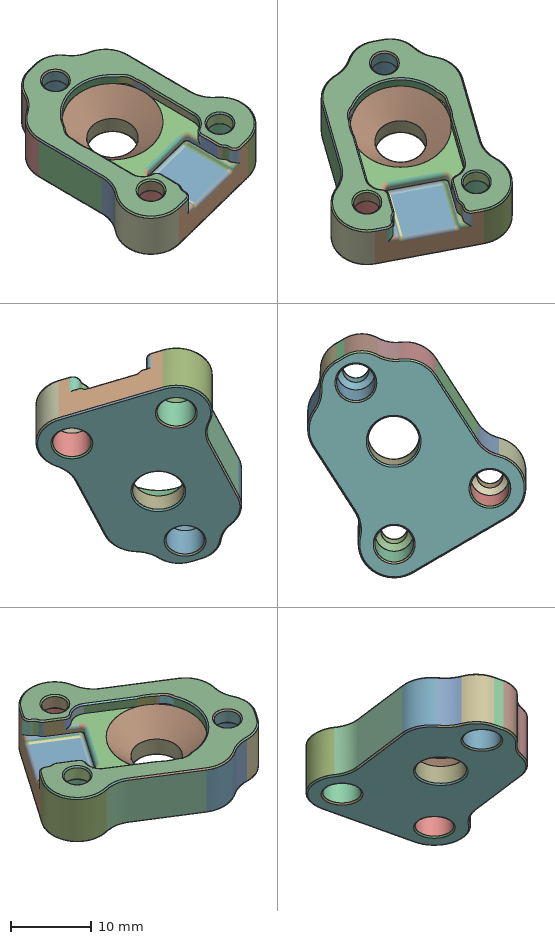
import cadquery as cq
import math

LENGTH = 28.75
WIDTH = 22.97
HEIGHT = 7.25
LEFT_X = -12.75
RIGHT_X = LEFT_X + LENGTH
CHAMFER = 0.2

BODY_HALF_WIDTH = 9.0
LOBE_RADIUS = 4.48
LOBE_X = RIGHT_X - LOBE_RADIUS
LOBE_Y = WIDTH / 2 - LOBE_RADIUS
LOBE_BLEND_RADIUS = 4.48
SHOULDER_RADIUS = 4.48
SHOULDER_X = -4.57
SHOULDER_Y = BODY_HALF_WIDTH - SHOULDER_RADIUS
NOSE_RADIUS = 4.0
NOSE_HALF_FLAT = 0.7
NOSE_BLEND_RADIUS = 4.6

SCREW_DIAMETER = 3.3
SCREW_RECESS_DIAMETER = 4.8
SCREW_RECESS_DEPTH = 4.48
NOSE_HOLE_X = -9.0
SEAT_HOLE_DIAMETER = 6.4
SEAT_RADIUS = 6.3

POCKET_FLOOR_Z = HEIGHT - 1.5
POCKET_HALF_WIDTH = 6.18
POCKET_CORNER_RADIUS = 2.0
POCKET_LEFT_X = -3.68
POCKET_ARC_X = 8.0
NECK_HALF_WIDTH = 4.02
NECK_CORNER_RADIUS = 1.0
NECK_END_X = RIGHT_X - 2.5
MOUTH_HALF_WIDTH = 4.48
MOUTH_CORNER_RADIUS = 1.0
MOUTH_START_X = RIGHT_X - 1.15

CHANNEL_START_X = 8.5
SHELF_Z = HEIGHT - 2.5
CHANNEL_FLOOR_Z = SHELF_Z - 0.45
CHANNEL_SLOPE_TOP = 4.0
CHANNEL_ROUNDING = 0.5

PICK_MARGIN = 0.03

OVERCUT = 2.88


def along(start, end, distance):
    """Point at a given distance from start towards end."""
    span = math.dist(start, end)
    return tuple(a + (b - a) * distance / span for a, b in zip(start, end))


def blend_centre(centre_a, radius_a, centre_b, radius_b, blend_radius):
    """Centre of an arc touching two circles from outside, on the left of the line from a to b."""
    reach_a = radius_a + blend_radius
    reach_b = radius_b + blend_radius
    span = math.dist(centre_a, centre_b)
    run = (reach_a**2 - reach_b**2 + span**2) / (2 * span)
    rise = math.sqrt(reach_a**2 - run**2)
    ux = (centre_b[0] - centre_a[0]) / span
    uy = (centre_b[1] - centre_a[1]) / span
    return centre_a[0] + ux * run - uy * rise, centre_a[1] + uy * run + ux * rise


def arc_to(path, centre, end):
    """Extend a path by the short arc about centre from its last point to end."""
    start = path.val().endPoint() if isinstance(path.val(), cq.Edge) else path.val()
    middle = ((start.x + end[0]) / 2, (start.y + end[1]) / 2)
    return path.threePointArc(along(centre, middle, math.dist(centre, end)), end)


def mirrored_prism(half_outline, bottom, top):
    """Prism from an outline above the X axis and its mirror image."""
    return half_outline.mirrorX().extrude(top - bottom).translate((0, 0, bottom))


def box(x_range, half_width, z_range):
    """Box centred on the X axis."""
    return cq.Workplane().box(
        x_range[1] - x_range[0], 2 * half_width, z_range[1] - z_range[0], centered=(False, True, False)
    ).translate((x_range[0], 0, z_range[0]))


def edges_within(low, high):
    """Selector for edges whose centres lie in the box from low to high, grown by a small margin."""
    return cq.selectors.BoxSelector(
        tuple(value - PICK_MARGIN for value in low), tuple(value + PICK_MARGIN for value in high)
    )


def turned_cutter(profile):
    """Solid turned about the Z axis from (radius, height) points."""
    return cq.Workplane("XZ").polyline(profile).close().revolve(360, (0, 0), (0, 1))


def body():
    """Block with a rounded nose on the left and two screw lobes on the right."""
    nose = (LEFT_X + NOSE_RADIUS, NOSE_HALF_FLAT)
    shoulder = (SHOULDER_X, SHOULDER_Y)
    nose_blend = blend_centre(nose, NOSE_RADIUS, shoulder, SHOULDER_RADIUS, NOSE_BLEND_RADIUS)
    lobe = (LOBE_X, LOBE_Y)
    lobe_blend_y = BODY_HALF_WIDTH + LOBE_BLEND_RADIUS
    lobe_reach = LOBE_RADIUS + LOBE_BLEND_RADIUS
    lobe_blend = (LOBE_X - math.sqrt(lobe_reach**2 - (lobe_blend_y - LOBE_Y) ** 2), lobe_blend_y)

    path = cq.Workplane().moveTo(LEFT_X, 0).lineTo(LEFT_X, NOSE_HALF_FLAT)
    path = arc_to(path, nose, along(nose, nose_blend, NOSE_RADIUS))
    path = arc_to(path, nose_blend, along(shoulder, nose_blend, SHOULDER_RADIUS))
    path = arc_to(path, shoulder, (SHOULDER_X, BODY_HALF_WIDTH))
    path = path.lineTo(lobe_blend[0], BODY_HALF_WIDTH)
    path = arc_to(path, lobe_blend, along(lobe, lobe_blend, LOBE_RADIUS))
    path = arc_to(path, lobe, (LOBE_X, LOBE_Y + LOBE_RADIUS))
    path = arc_to(path, lobe, (RIGHT_X, LOBE_Y))
    path = path.lineTo(RIGHT_X, 0)
    return mirrored_prism(path, 0, HEIGHT).clean()


def open_through_mouth(path):
    """Carry a half outline from the neck wall through the flared mouth and past the right end."""
    run = MOUTH_START_X - NECK_END_X
    rise = MOUTH_HALF_WIDTH - NECK_HALF_WIDTH
    flare_radius = (run**2 + rise**2) / (4 * rise)
    halfway = (NECK_END_X + run / 2, NECK_HALF_WIDTH + rise / 2)
    corner = (RIGHT_X - MOUTH_CORNER_RADIUS, MOUTH_HALF_WIDTH + MOUTH_CORNER_RADIUS)

    path = path.lineTo(NECK_END_X, NECK_HALF_WIDTH)
    path = arc_to(path, (NECK_END_X, NECK_HALF_WIDTH + flare_radius), halfway)
    path = arc_to(path, (MOUTH_START_X, MOUTH_HALF_WIDTH - flare_radius), (MOUTH_START_X, MOUTH_HALF_WIDTH))
    path = path.lineTo(corner[0], MOUTH_HALF_WIDTH)
    path = arc_to(path, corner, (RIGHT_X, corner[1]))
    return path.lineTo(RIGHT_X + OVERCUT, corner[1]).lineTo(RIGHT_X + OVERCUT, 0)


def pocket_prism(bottom):
    """Plan of the pocket, neck and mouth, from the given level up to the top face."""
    arc_y = POCKET_HALF_WIDTH - POCKET_CORNER_RADIUS
    wide_arc = (POCKET_ARC_X, arc_y)
    left_arc = (POCKET_LEFT_X + POCKET_CORNER_RADIUS, arc_y)
    neck_y = NECK_HALF_WIDTH + NECK_CORNER_RADIUS
    reach = POCKET_CORNER_RADIUS + NECK_CORNER_RADIUS
    neck_arc = (POCKET_ARC_X + math.sqrt(reach**2 - (neck_y - arc_y) ** 2), neck_y)

    path = cq.Workplane().moveTo(POCKET_LEFT_X, 0).lineTo(POCKET_LEFT_X, arc_y)
    path = arc_to(path, left_arc, (left_arc[0], POCKET_HALF_WIDTH))
    path = path.lineTo(POCKET_ARC_X, POCKET_HALF_WIDTH)
    path = arc_to(path, wide_arc, along(wide_arc, neck_arc, POCKET_CORNER_RADIUS))
    path = arc_to(path, neck_arc, (neck_arc[0], NECK_HALF_WIDTH))
    return mirrored_prism(open_through_mouth(path), bottom, HEIGHT)


def seat():
    """Through hole with a 45 degree cone, cleared straight up from the pocket floor."""
    hole_radius = SEAT_HOLE_DIAMETER / 2
    cone_bottom_z = POCKET_FLOOR_Z - (SEAT_RADIUS - hole_radius)
    return turned_cutter([
        (0, 0),
        (hole_radius, 0),
        (hole_radius, cone_bottom_z),
        (SEAT_RADIUS, POCKET_FLOOR_Z),
        (SEAT_RADIUS, HEIGHT),
        (0, HEIGHT),
    ])


def screw_holes():
    """Three through holes, each widened from below and joined to the recess by a 45 degree cone."""
    hole_radius = SCREW_DIAMETER / 2
    recess_radius = SCREW_RECESS_DIAMETER / 2
    hole = turned_cutter([
        (0, 0),
        (recess_radius, 0),
        (recess_radius, SCREW_RECESS_DEPTH),
        (hole_radius, SCREW_RECESS_DEPTH + recess_radius - hole_radius),
        (hole_radius, HEIGHT),
        (0, HEIGHT),
    ]).val()
    centres = [(NOSE_HOLE_X, 0), (LOBE_X, LOBE_Y), (LOBE_X, -LOBE_Y)]
    return cq.Workplane().pushPoints(centres).eachpoint(lambda place: hole.moved(place))


def channel_section():
    """Shelf and sloped channel with rounded edges, rolling over at the right end face."""
    slope_bottom = CHANNEL_SLOPE_TOP - (SHELF_Z - CHANNEL_FLOOR_Z)
    section = (
        cq.Workplane("YZ", origin=(CHANNEL_START_X, 0, 0))
        .moveTo(0, CHANNEL_FLOOR_Z)
        .lineTo(slope_bottom, CHANNEL_FLOOR_Z)
        .lineTo(CHANNEL_SLOPE_TOP, SHELF_Z)
        .lineTo(BODY_HALF_WIDTH, SHELF_Z)
        .lineTo(BODY_HALF_WIDTH, POCKET_FLOOR_Z)
        .lineTo(0, POCKET_FLOOR_Z)
        .mirrorY()
        .extrude(RIGHT_X - CHANNEL_START_X)
        .clean()
    )
    slope_edges = edges_within(
        (CHANNEL_START_X, -CHANNEL_SLOPE_TOP, CHANNEL_FLOOR_Z), (RIGHT_X, CHANNEL_SLOPE_TOP, SHELF_Z)
    )
    section = section.edges("|X").edges(slope_edges).fillet(CHANNEL_ROUNDING)
    start_floor_edge = edges_within(
        (CHANNEL_START_X, -slope_bottom, CHANNEL_FLOOR_Z), (CHANNEL_START_X, slope_bottom, CHANNEL_FLOOR_Z)
    )
    section = section.edges(start_floor_edge).fillet(CHANNEL_ROUNDING)

    beyond_end = box((RIGHT_X, RIGHT_X + OVERCUT), BODY_HALF_WIDTH, (0, POCKET_FLOOR_Z))
    end_edges = edges_within(
        (RIGHT_X, -BODY_HALF_WIDTH, CHANNEL_FLOOR_Z), (RIGHT_X, BODY_HALF_WIDTH, SHELF_Z)
    )
    return section.union(beyond_end).edges(end_edges).fillet(CHANNEL_ROUNDING)


def channel():
    """Channel section held within the neck walls and the flared mouth."""
    corner = (CHANNEL_START_X + CHANNEL_ROUNDING, NECK_HALF_WIDTH - CHANNEL_ROUNDING)
    path = cq.Workplane().moveTo(CHANNEL_START_X, 0).lineTo(CHANNEL_START_X, corner[1])
    path = arc_to(path, corner, (corner[0], NECK_HALF_WIDTH))
    plan = mirrored_prism(open_through_mouth(path), 0, POCKET_FLOOR_Z)
    return channel_section().intersect(plan)


def channel_rim():
    """Rounds the pocket floor down into the channel, wherever the pocket is wider than the neck."""
    slot = box((CHANNEL_START_X, NECK_END_X), NECK_HALF_WIDTH, (SHELF_Z, POCKET_FLOOR_Z))
    slot = slot.edges("|Z and <X").fillet(CHANNEL_ROUNDING)
    above = box((0, NECK_END_X), POCKET_HALF_WIDTH, (POCKET_FLOOR_Z, HEIGHT))
    rim_edges = edges_within(
        (CHANNEL_START_X, -NECK_HALF_WIDTH, POCKET_FLOOR_Z),
        (NECK_END_X - CHANNEL_ROUNDING, NECK_HALF_WIDTH, POCKET_FLOOR_Z),
    )
    rim = above.union(slot).edges(rim_edges).fillet(CHANNEL_ROUNDING)
    return rim.intersect(pocket_prism(SHELF_Z))


result = body()
for cavity in (pocket_prism(POCKET_FLOOR_Z), seat(), channel(), channel_rim(), screw_holes()):
    result = result.cut(cavity)
result = result.clean()

for face in ("<Z", ">Z"):
    result = result.faces(face).chamfer(CHAMFER)